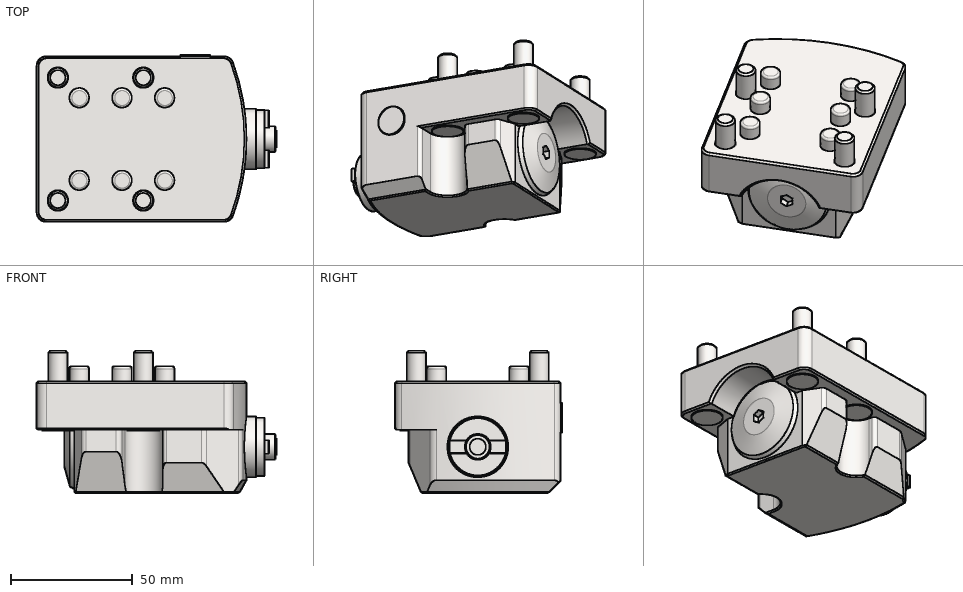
import cadquery as cq
import math

OVERLAP = 4.9

PLATE_LENGTH = 86.2
PLATE_WIDTH = 68.0
PLATE_THICKNESS = 20.0
PLATE_CORNER_R = 4.0
PLATE_END_R = 91.7
PLATE_TOP_CHAMFER = 0.9
PLATE_BOTTOM_CHAMFER = 0.7
HALF_WIDTH = PLATE_WIDTH / 2
END_AXIS_X = PLATE_LENGTH - PLATE_END_R
END_EDGE_X = END_AXIS_X + math.sqrt(PLATE_END_R**2 - HALF_WIDTH**2)

PITCH = 17.5
STUD_XS = [PITCH, 2 * PITCH, 3 * PITCH]
STUD_Y = 16.95
STUD_DIAMETER = 8.1
STUD_HEIGHT = 6.1
STUD_ROUNDING = 1.0
SCREW_XS = [PITCH / 2, PITCH * 5 / 2]
SCREW_Y = 25.2
SCREW_DIAMETER = 8.0
SCREW_PROJECTION = 12.5
SCREW_CHAMFER = 0.9
SCREW_HOLE_R = 4.2
SCREW_HEAD_R = 6.5
SCREW_HEAD_HEIGHT = 8.0
SCREW_HEAD_STANDOUT = 0.5
SCREW_HEAD_BOTTOM_Z = -PLATE_THICKNESS - SCREW_HEAD_STANDOUT
SCREW_HEAD_TOP_Z = SCREW_HEAD_BOTTOM_Z + SCREW_HEAD_HEIGHT

BOTTOM_Z = -46.0
BLOCK_TOP_Z = -PLATE_THICKNESS + OVERLAP
BLOCK_FRONT_X = 15.5
BLOCK_FRONT_HALF_WIDTH = 19.8
BLOCK_HALF_WIDTH = 28.5
BLOCK_SHOULDER_X = 18.9
BLOCK_CORNER_R = 2.0
REAR_TAPER_X = 68.8
REAR_TAPER_ANGLE = 32.0
REAR_CORNER_R = 4.0
BOTTOM_CHAMFER = 0.6
NOTCH_X = SCREW_XS[1]
NOTCH_R = 8.0
NOTCH_WALL_ANGLE = 17.0
NOTCH_SLANT_EDGE_R = 2.6
NOTCH_EDGE_R = 1.5
BEVEL_ANGLE = 23.0
FRONT_BEVEL_TOP_Z = -29.0
REAR_BEVEL_TOP_Z = -33.5
SIDE_BEVEL = 5.0
END_BEVEL_DEPTH = 3.0
END_BEVEL_HEIGHT = 5.3

AXIS_Z = -27.0
CAP_R = 17.3
CAP_RIM_R = 16.4
CAP_FACE_R = 8.1
CAP_FACE_X = 11.3
CAP_RIM_X = 13.7
CAP_HEX_FLATS = 5.0
CAP_HEX_DEPTH = 3.0
CAP_HEX_TURN = 90.0
RECESS_R = 17.8
RECESS_CHAMFER = 1.0
COLLAR_R = 12.5
COLLAR_SEAT_X = 84.8
COLLAR_END_X = 90.2
COLLAR_CHAMFER = 0.2
DISC_R = 12.0
DISC_END_X = 93.7
DISC_CHAMFER = 0.3
SHAFT_R = 5.3
SHAFT_END_X = 98.3
SHAFT_CHAMFER = 0.5
SHAFT_TIP_R = 3.35
SHAFT_TIP_X = 98.55
KEY_LENGTH = 23.75
KEY_HEIGHT = 5.5
KEY_END_X = 95.5
KEY_CHAMFER = 0.3

PLUG_X = 65.1
PLUG_Z = -15.1
PLUG_R = 6.1
PLUG_STANDOUT = 0.6
PLUG_CHAMFER = 0.2


def x_cylinder(radius, x_start, x_end):
    """Cylinder on the common X axis."""
    plane = cq.Workplane("YZ", origin=(x_start, 0, AXIS_Z))
    return plane.circle(radius).extrude(x_end - x_start)


def z_cylinder(radius, x, y, z_start, z_end):
    """Upright cylinder."""
    return cq.Workplane(origin=(x, y, z_start)).circle(radius).extrude(z_end - z_start)


def outline_prism(z_start, z_end):
    """Plate outline with rounded corners and a bowed +X end."""
    return (
        cq.Workplane(origin=(0, 0, z_start))
        .moveTo(0, -HALF_WIDTH)
        .lineTo(END_EDGE_X, -HALF_WIDTH)
        .threePointArc((PLATE_LENGTH, 0), (END_EDGE_X, HALF_WIDTH))
        .lineTo(0, HALF_WIDTH)
        .close()
        .extrude(z_end - z_start)
        .edges("|Z")
        .fillet(PLATE_CORNER_R)
    )


def make_plate():
    """Plate with a chamfered top; the bottom chamfer runs along every edge but the bowed +X end."""
    plate = outline_prism(-PLATE_THICKNESS, 0).faces(">Z").edges().chamfer(PLATE_TOP_CHAMFER)
    envelope = (
        cq.Workplane(origin=(0, 0, -PLATE_THICKNESS))
        .rect(2 * PLATE_LENGTH, PLATE_WIDTH)
        .extrude(PLATE_THICKNESS)
        .translate((PLATE_LENGTH, 0, 0))
        .edges("|Z and <X")
        .fillet(PLATE_CORNER_R)
        .faces("<Z")
        .edges()
        .chamfer(PLATE_BOTTOM_CHAMFER)
    )
    return plate.intersect(envelope)


def half_block_outline(side, rear_points):
    """Half of the lower block plan, on the -Y (side = -1) or +Y (side = 1) side of the mid plane.

    A notch around the screw head breaks the side. Its -X wall slants and is tangent to the round
    bottom, and its +X wall is straight.
    """
    angle = math.radians(NOTCH_WALL_ANGLE)
    tangent_x = NOTCH_X - NOTCH_R * math.cos(angle)
    tangent_y = SCREW_Y - NOTCH_R * math.sin(angle)
    mouth_x = tangent_x - (BLOCK_HALF_WIDTH - tangent_y) * math.tan(angle)
    wall_x = NOTCH_X + NOTCH_R
    outline = (
        cq.Workplane(origin=(0, 0, BOTTOM_Z))
        .moveTo(BLOCK_FRONT_X, 0)
        .lineTo(BLOCK_FRONT_X, side * BLOCK_FRONT_HALF_WIDTH)
        .lineTo(BLOCK_SHOULDER_X, side * BLOCK_HALF_WIDTH)
        .lineTo(mouth_x, side * BLOCK_HALF_WIDTH)
        .lineTo(tangent_x, side * tangent_y)
        .threePointArc((NOTCH_X, side * (SCREW_Y - NOTCH_R)), (wall_x, side * SCREW_Y))
    )
    for x, y in rear_points:
        outline = outline.lineTo(x, side * y)
    half = outline.close().extrude(BLOCK_TOP_Z - BOTTOM_Z)
    wall_y = rear_points[0][1]
    for x, y, radius in (
        (BLOCK_SHOULDER_X, BLOCK_HALF_WIDTH, BLOCK_CORNER_R),
        (mouth_x, BLOCK_HALF_WIDTH, NOTCH_SLANT_EDGE_R),
        (wall_x, wall_y, NOTCH_EDGE_R),
    ):
        half = half.edges(vertical_edge_at(x, side * y)).fillet(radius)
    return half


def vertical_edge_at(x, y):
    """Selector for the lower block's upright edge at (x, y)."""
    reach = 0.1
    low = (x - reach, y - reach, BOTTOM_Z - reach)
    high = (x + reach, y + reach, BLOCK_TOP_Z + reach)
    return cq.selectors.BoxSelector(low, high)


def bevel_cutter(x_start, x_end, side, top_z):
    """Wedge that slopes the lower part of a block side inward towards the bottom."""
    height = top_z - BOTTOM_Z + OVERLAP
    inset = height * math.tan(math.radians(BEVEL_ANGLE))
    return (
        cq.Workplane("YZ", origin=(x_start, 0, 0))
        .moveTo(side * BLOCK_HALF_WIDTH, top_z)
        .lineTo(side * (BLOCK_HALF_WIDTH - inset), top_z - height)
        .lineTo(side * (BLOCK_HALF_WIDTH + OVERLAP), top_z - height)
        .lineTo(side * (BLOCK_HALF_WIDTH + OVERLAP), top_z)
        .close()
        .extrude(x_end - x_start)
    )


def side_bevel_cutter():
    """Wedge along the bottom edge of the +Y side, from the notch to the +X end."""
    reach = SIDE_BEVEL + OVERLAP
    return (
        cq.Workplane("YZ", origin=(NOTCH_X, 0, 0))
        .moveTo(HALF_WIDTH + OVERLAP, BOTTOM_Z - OVERLAP)
        .lineTo(HALF_WIDTH - reach, BOTTOM_Z - OVERLAP)
        .lineTo(HALF_WIDTH + OVERLAP, BOTTOM_Z + reach)
        .close()
        .extrude(PLATE_LENGTH)
    )


def end_bevel_cutter():
    """Ring with a conical inside that bevels the bottom of the bowed +X end."""
    slope = END_BEVEL_DEPTH / END_BEVEL_HEIGHT
    top_r = PLATE_END_R + OVERLAP * slope
    bottom_r = PLATE_END_R - END_BEVEL_DEPTH - OVERLAP * slope
    outer_r = PLATE_END_R + 2 * OVERLAP
    top_z = BOTTOM_Z + END_BEVEL_HEIGHT + OVERLAP
    bottom_z = BOTTOM_Z - OVERLAP
    return (
        cq.Workplane("XZ")
        .polyline([(bottom_r, bottom_z), (outer_r, bottom_z), (outer_r, top_z), (top_r, top_z)])
        .close()
        .revolve(360, (0, 0, 0), (0, 1, 0))
        .translate((END_AXIS_X, 0, 0))
    )


def rear_corner():
    """Point where the slanted -Y face meets the bowed +X end.

    The start of the slanted face is resolved along and across the face, seen from the axis of the bow.
    """
    angle = math.radians(REAR_TAPER_ANGLE)
    start_x = REAR_TAPER_X - END_AXIS_X
    along = start_x * math.cos(angle) - BLOCK_HALF_WIDTH * math.sin(angle)
    across = start_x * math.sin(angle) + BLOCK_HALF_WIDTH * math.cos(angle)
    travel = math.sqrt(PLATE_END_R**2 - across**2) - along
    x = REAR_TAPER_X + travel * math.cos(angle)
    y = travel * math.sin(angle) - BLOCK_HALF_WIDTH
    return x, y


def make_block():
    """Lower block: tapered and beveled on the -Y side, flush with the plate at the rear of the +Y side."""
    taper_run = BLOCK_HALF_WIDTH / math.tan(math.radians(REAR_TAPER_ANGLE))
    tapered_rear = [
        (NOTCH_X + NOTCH_R, BLOCK_HALF_WIDTH),
        (REAR_TAPER_X, BLOCK_HALF_WIDTH),
        (REAR_TAPER_X + taper_run, 0),
    ]
    full_rear = [
        (NOTCH_X + NOTCH_R, HALF_WIDTH),
        (REAR_TAPER_X + taper_run, HALF_WIDTH),
        (REAR_TAPER_X + taper_run, 0),
    ]
    block = half_block_outline(-1, tapered_rear).union(half_block_outline(1, full_rear))
    block = block.intersect(outline_prism(BOTTOM_Z, BLOCK_TOP_Z))
    block = block.edges(vertical_edge_at(REAR_TAPER_X, -BLOCK_HALF_WIDTH)).fillet(REAR_CORNER_R)
    block = block.edges(vertical_edge_at(*rear_corner())).fillet(REAR_CORNER_R)
    block = block.cut(bevel_cutter(0, NOTCH_X, -1, FRONT_BEVEL_TOP_Z))
    block = block.cut(bevel_cutter(0, NOTCH_X, 1, FRONT_BEVEL_TOP_Z))
    block = block.cut(bevel_cutter(NOTCH_X, PLATE_LENGTH, -1, REAR_BEVEL_TOP_Z))
    block = block.cut(side_bevel_cutter())
    block = block.cut(end_bevel_cutter())
    return block.faces("<Z").edges().chamfer(BOTTOM_CHAMFER)


def make_stud(x, y):
    """Locating stud with a rounded top, part of the housing."""
    stud = z_cylinder(STUD_DIAMETER / 2, x, y, -OVERLAP, STUD_HEIGHT)
    return stud.faces(">Z").edges().fillet(STUD_ROUNDING)


def cap_recess():
    """Round recess over the end cap, chamfered where it opens at the -X end."""
    mouth = (
        cq.Workplane("YZ", origin=(0, 0, AXIS_Z))
        .circle(RECESS_R + RECESS_CHAMFER)
        .extrude(RECESS_CHAMFER, taper=45)
    )
    return x_cylinder(RECESS_R, 0, BLOCK_FRONT_X).union(mouth)


def screw_hole(x, y):
    """Through hole for the shank and a counterbore for the head, open at the plate bottom."""
    shank = z_cylinder(SCREW_HOLE_R, x, y, SCREW_HEAD_TOP_Z, OVERLAP)
    head = z_cylinder(SCREW_HEAD_R, x, y, SCREW_HEAD_BOTTOM_Z, SCREW_HEAD_TOP_Z)
    return shank.union(head)


def make_housing():
    """Plate, lower block and studs in one piece, with its holes and seats."""
    housing = make_plate().cut(cap_recess()).union(make_block())
    for side in (-1, 1):
        for x in STUD_XS:
            housing = housing.union(make_stud(x, side * STUD_Y))
        for x in SCREW_XS:
            housing = housing.cut(screw_hole(x, side * SCREW_Y))
    return housing.cut(x_cylinder(COLLAR_R, COLLAR_SEAT_X, COLLAR_END_X))


def make_screw(x, y):
    """Cap screw with its head at the bottom and its end standing out of the mounting face."""
    shank = z_cylinder(SCREW_DIAMETER / 2, x, y, SCREW_HEAD_TOP_Z, SCREW_PROJECTION)
    shank = shank.faces(">Z").edges().chamfer(SCREW_CHAMFER)
    return shank.union(z_cylinder(SCREW_HEAD_R, x, y, SCREW_HEAD_BOTTOM_Z, SCREW_HEAD_TOP_Z))


def make_cap():
    """Conical end cap on the -X face of the block, with a hexagon socket."""
    cap = (
        cq.Workplane("XY")
        .moveTo(CAP_FACE_X, 0)
        .lineTo(CAP_FACE_X, CAP_FACE_R)
        .lineTo(CAP_RIM_X, CAP_RIM_R)
        .lineTo(BLOCK_FRONT_X, CAP_R)
        .lineTo(BLOCK_FRONT_X, 0)
        .close()
        .revolve(360, (0, 0, 0), (1, 0, 0))
        .translate((0, 0, AXIS_Z))
    )
    socket = (
        cq.Workplane("YZ", origin=(CAP_FACE_X, 0, AXIS_Z))
        .transformed(rotate=(0, 0, CAP_HEX_TURN))
        .polygon(6, CAP_HEX_FLATS / math.cos(math.pi / 6))
        .extrude(CAP_HEX_DEPTH)
    )
    return cap.cut(socket)


def make_collar():
    """Collar seated in the +X end of the housing, bored for the shaft."""
    bore = x_cylinder(SHAFT_R, COLLAR_SEAT_X, COLLAR_END_X)
    collar = x_cylinder(COLLAR_R, COLLAR_SEAT_X, COLLAR_END_X)
    collar = collar.faces(">X").edges().chamfer(COLLAR_CHAMFER)
    return collar.cut(bore)


def make_disc():
    """Disc against the collar, bored for the shaft."""
    disc = x_cylinder(DISC_R, COLLAR_END_X, DISC_END_X).faces(">X").edges().chamfer(DISC_CHAMFER)
    return disc.cut(x_cylinder(SHAFT_R, COLLAR_END_X, DISC_END_X))


def make_shaft():
    """Drive shaft with a raised tip and a cross key that lies on the disc."""
    shaft = x_cylinder(SHAFT_R, COLLAR_SEAT_X, SHAFT_END_X)
    shaft = shaft.faces(">X").edges().chamfer(SHAFT_CHAMFER)
    key = (
        cq.Workplane("YZ", origin=(DISC_END_X, 0, AXIS_Z))
        .rect(KEY_LENGTH, KEY_HEIGHT)
        .extrude(KEY_END_X - DISC_END_X)
        .faces(">X")
        .edges()
        .chamfer(KEY_CHAMFER)
    )
    tip = x_cylinder(SHAFT_TIP_R, SHAFT_END_X, SHAFT_TIP_X)
    return shaft.union(key).union(tip)


def make_plug():
    """Flat round plug on the +Y side."""
    plug = cq.Workplane("XZ", origin=(PLUG_X, HALF_WIDTH, PLUG_Z)).circle(PLUG_R).extrude(-PLUG_STANDOUT)
    return plug.faces(">Y").edges().chamfer(PLUG_CHAMFER)


housing = make_housing()
screws = [make_screw(x, side * SCREW_Y) for x in SCREW_XS for side in (-1, 1)]
cap = make_cap()
collar = make_collar()
disc = make_disc()
shaft = make_shaft()
plug = make_plug()

result = cq.Compound.makeCompound(
    [
        housing.val(),
        *[screw.val() for screw in screws],
        cap.val(),
        collar.val(),
        disc.val(),
        shaft.val(),
        plug.val(),
    ]
)